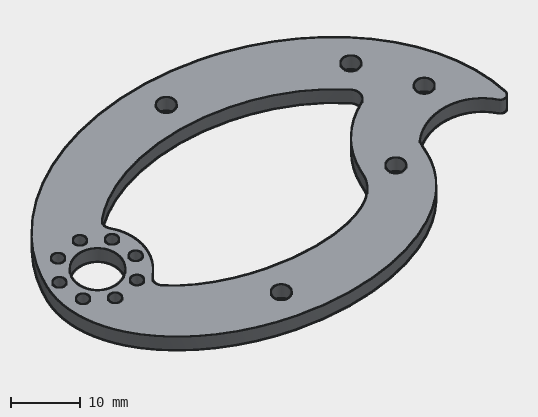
import cadquery as cq

thickness = 3.0

hub_radius = 8.0
rim_width = 10.0
left_half_width = 30.0
left_half_height = 38.0
right_half_width = left_half_width - rim_width
right_half_height = 30.0
left_center_y = left_half_height - hub_radius
right_center_y = right_half_height - hub_radius
outer_shoulder_y = right_center_y + right_half_height
inner_shoulder_y = outer_shoulder_y - rim_width
shoulder_mid_y = outer_shoulder_y - rim_width / 2

hook_radius = 9.0
hook_center = (1.8, 59.85)
inner_hook_radius = 15.05
inner_hook_center = (-1.2, inner_shoulder_y + inner_hook_radius)

tip_fillet = 1.0
upper_corner_fillet = 1.8
lower_corner_fillet = 1.5

bore_diameter = 8.0
bolt_circle_radius = 6.0
bolt_hole_diameter = 2.0
bolt_count = 8
mount_hole_diameter = 3.0
mount_hole_points = [
    (-12.0, 57.1),
    (-20.3, 49.3),
    (0, shoulder_mid_y),
    (-24.2, right_center_y),
    (right_half_width - rim_width / 2, right_center_y),
]


def half_ellipse(center_y, half_width, half_height, side):
    """Plate bounded by the Y axis and half an ellipse; side is -1 for left, 1 for right."""
    full = cq.Workplane("XY").center(0, center_y).ellipse(half_width, half_height).extrude(thickness)
    x_min, x_max = sorted((0, side * half_width))
    return full.intersect(block(x_min, x_max, center_y - half_height, center_y + half_height))


def block(x_min, x_max, y_min, y_max):
    """Rectangular plate between the given limits."""
    return cq.Workplane("XY").box(
        x_max - x_min, y_max - y_min, thickness, centered=False
    ).translate((x_min, y_min, 0))


def disc(center, radius):
    """Round plate."""
    return cq.Workplane("XY").center(*center).circle(radius).extrude(thickness)


def round_corners(body, y_min, y_max, radius):
    """Round the upright edges that lie between two Y limits."""
    upright_edges = cq.selectors.BoxSelector(
        (-left_half_width, y_min, thickness / 4),
        (left_half_width, y_max, thickness * 3 / 4),
    )
    return body.edges(upright_edges).fillet(radius)


hook_cut = disc(hook_center, hook_radius).intersect(
    block(-left_half_width, left_half_width, outer_shoulder_y, outer_shoulder_y + left_half_height)
)
left_outer = half_ellipse(left_center_y, left_half_width, left_half_height, -1).cut(hook_cut)
right_outer = half_ellipse(right_center_y, right_half_width, right_half_height, 1)
plate = left_outer.union(right_outer)
plate = round_corners(plate, hook_center[1], 2 * left_half_height, tip_fillet)

left_inner_height = left_half_height - rim_width
left_inner = (
    half_ellipse(left_center_y, left_half_width - rim_width, left_inner_height, -1)
    .cut(disc(inner_hook_center, inner_hook_radius))
    .cut(block(inner_hook_center[0], 0, inner_shoulder_y, left_center_y + left_half_height))
)
right_inner = half_ellipse(
    right_center_y, right_half_width - rim_width, right_half_height - rim_width, 1
)
opening = left_inner.union(right_inner).cut(disc((0, 0), hub_radius))
opening = round_corners(opening, shoulder_mid_y, outer_shoulder_y, upper_corner_fillet)
opening = round_corners(opening, 0, hub_radius, lower_corner_fillet)

result = plate.cut(opening)

result = result.cut(disc((0, 0), bore_diameter / 2))
bolt_holes = (
    cq.Workplane("XY")
    .polarArray(bolt_circle_radius, 0, 360, bolt_count)
    .circle(bolt_hole_diameter / 2)
    .extrude(thickness)
)
result = result.cut(bolt_holes)
for point in mount_hole_points:
    result = result.cut(disc(point, mount_hole_diameter / 2))